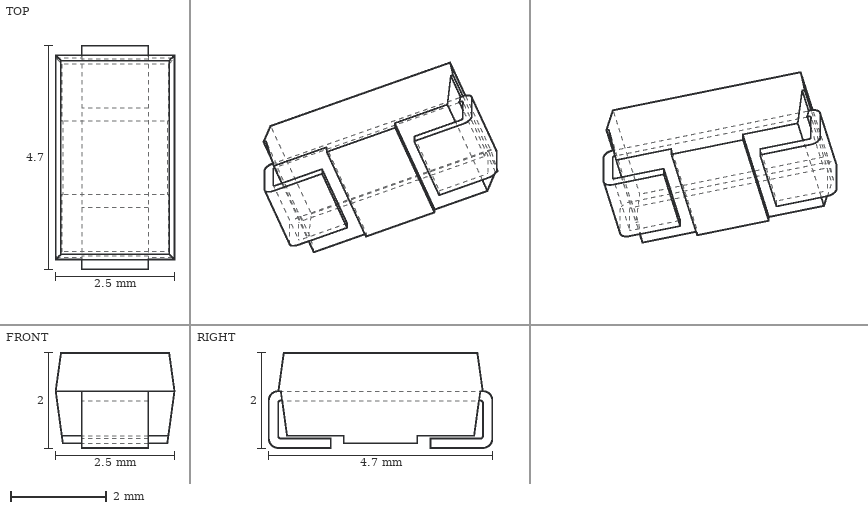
import cadquery as cq
import math

housing_width = 2.5
housing_length = 4.295
housing_top = 2.0
parting_height = 1.2
base_height = 0.26
end_step = 0.05
upper_draft = 8.0
lower_draft = 7.8
foot_length = 1.55
foot_bottom = 0.1

lead_span = 4.7
lead_width = 1.4
lead_thickness = 0.2
lead_foot_length = 1.305
outer_bend_radius = 0.2
inner_bend_radius = 0.05


def tapered_block(width, length, start_height, end_height, draft):
    """Rectangular frustum that narrows from start_height to end_height."""
    height = end_height - start_height
    inset = abs(height) * math.tan(math.radians(draft))
    return (
        cq.Workplane("XY", origin=(0, 0, start_height))
        .rect(width, length)
        .workplane(offset=height)
        .rect(width - 2 * inset, length - 2 * inset)
        .loft(ruled=True)
    )


def make_lead_strip():
    """Closed rounded loop of strip, opened between the two feet."""
    outer = (
        cq.Workplane("XY")
        .box(lead_width, lead_span, parting_height, centered=(True, True, False))
        .edges("|X")
        .fillet(outer_bend_radius)
    )
    inner = (
        cq.Workplane("XY", origin=(0, 0, lead_thickness))
        .box(
            lead_width,
            lead_span - 2 * lead_thickness,
            parting_height - 2 * lead_thickness,
            centered=(True, True, False),
        )
        .edges("|X")
        .fillet(inner_bend_radius)
    )
    foot_gap = cq.Workplane("XY").box(
        lead_width,
        lead_span - 2 * lead_foot_length,
        lead_thickness,
        centered=(True, True, False),
    )
    return outer.cut(inner).cut(foot_gap)


def make_housing(lead_strip):
    """Two drafted halves with a raised foot below and a slot for the lead strip."""
    upper = tapered_block(
        housing_width, housing_length, parting_height, housing_top, upper_draft
    )
    lower = tapered_block(
        housing_width, housing_length - 2 * end_step, parting_height, foot_bottom, lower_draft
    )
    foot_height = base_height - foot_bottom
    trim = cq.Workplane("XY", origin=(0, 0, foot_bottom)).box(
        housing_width, housing_length, foot_height, centered=(True, True, False)
    )
    foot_zone = cq.Workplane("XY", origin=(0, 0, foot_bottom)).box(
        housing_width, foot_length, foot_height, centered=(True, True, False)
    )
    lower = lower.cut(trim.cut(foot_zone))
    return upper.union(lower).cut(lead_strip)


lead_strip = make_lead_strip()
housing = make_housing(lead_strip)

result = cq.Compound.makeCompound([housing.solids().val(), lead_strip.solids().val()])